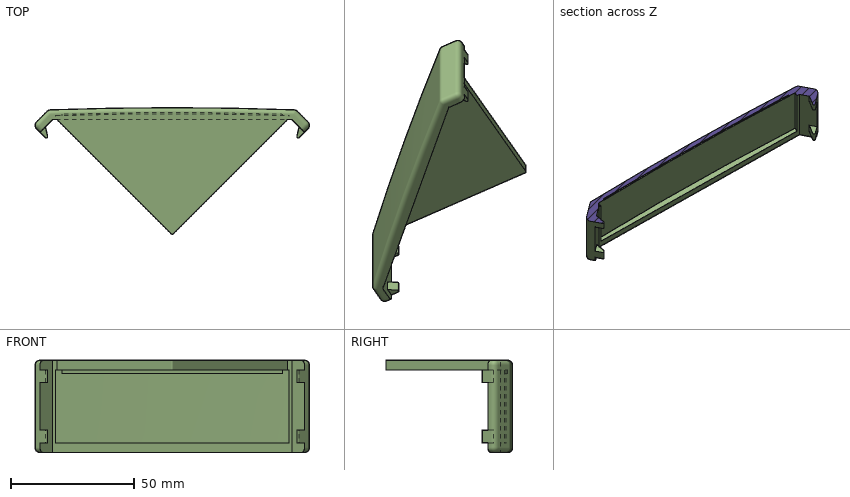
import cadquery as cq
import math

height = 37.5
wall = 4.0
crown = 0.9
overall_width = 111.32
arm_travel = 6.33
edge_radius = 2.0

depth = 51.39
tip_radius = 0.65

pocket_half_width = 47.4
pocket_depth = 1.5
pocket_margin = wall
groove_half_width = 44.7
groove_height = 1.3
groove_depth = 0.5

hook_height = 5.15
hook_length = 3.6
hook_root_width = 3.2
hook_tip_radius = 0.6

diagonal = math.sqrt(0.5)
corner_overhang = edge_radius * (math.sqrt(2) - 1)
arm_end_x = overall_width / 2 + corner_overhang
arm_end_y = -crown - arm_travel
shoulder_x = arm_end_x - arm_travel
inner_x = shoulder_x - wall * math.tan(math.radians(45 / 2))
inner_y = -crown - wall
arm_inner_x = arm_end_x - wall * diagonal
arm_inner_y = arm_end_y - wall * diagonal
sharp_tip_y = -depth - tip_radius * (math.sqrt(2) - 1)
shelf_half_width = inner_y - sharp_tip_y
pocket_bottom = pocket_margin
pocket_top = height - pocket_margin


def arched_block(half_width, front_y, floor_y, bottom, top):
    """Block from a flat front to an arc parallel to the back face, floor_y behind its crown."""
    back_radius = (shoulder_x**2 + crown**2) / (2 * crown)
    floor_radius = back_radius + floor_y
    side_y = floor_y - floor_radius + math.sqrt(floor_radius**2 - half_width**2)
    return (
        cq.Workplane("XY", origin=(0, 0, bottom))
        .moveTo(-half_width, front_y)
        .lineTo(-half_width, side_y)
        .threePointArc((0, floor_y), (half_width, side_y))
        .lineTo(half_width, front_y)
        .close()
        .extrude(top - bottom)
    )


def make_plate():
    """Arched plate and arms, with every edge of the outer side rounded."""
    plate = (
        cq.Workplane("XY")
        .moveTo(-shoulder_x, -crown)
        .threePointArc((0, 0), (shoulder_x, -crown))
        .lineTo(arm_end_x, arm_end_y)
        .lineTo(arm_inner_x, arm_inner_y)
        .lineTo(inner_x, inner_y)
        .lineTo(-inner_x, inner_y)
        .lineTo(-arm_inner_x, arm_inner_y)
        .lineTo(-arm_end_x, arm_end_y)
        .close()
        .extrude(height)
    )
    arm_mid_x = (shoulder_x + arm_end_x) / 2
    arm_mid_y = (arm_end_y - crown) / 2
    end_mid_x = (arm_end_x + arm_inner_x) / 2
    end_mid_y = (arm_end_y + arm_inner_y) / 2
    edge_points = [(0, 0, 0), (0, 0, height)]
    for side in (-1, 1):
        edge_points.append((side * shoulder_x, -crown, height / 2))
        edge_points.append((side * arm_end_x, arm_end_y, height / 2))
        for z in (0, height):
            edge_points.append((side * arm_mid_x, arm_mid_y, z))
            edge_points.append((side * end_mid_x, end_mid_y, z))
    outer_edges = plate.newObject([])
    for point in edge_points:
        outer_edges = outer_edges.add(plate.edges(cq.selectors.NearestToPointSelector(point)))
    return outer_edges.fillet(edge_radius)


def make_shelf():
    """Right-angled triangular shelf with a rounded tip."""
    return (
        cq.Workplane("XY", origin=(0, 0, height - wall))
        .polyline([(-shelf_half_width, inner_y), (shelf_half_width, inner_y), (0, sharp_tip_y)])
        .close()
        .extrude(wall)
        .edges("|Z and <Y")
        .fillet(tip_radius)
    )


def make_hook(side, bottom):
    """Tapered hook that carries on from the end face of an arm."""
    tip = (side * (arm_inner_x - hook_length), arm_inner_y - hook_length)
    root_run = hook_root_width * diagonal
    root = (side * (arm_inner_x - root_run), arm_inner_y + root_run)
    return (
        cq.Workplane("XY", origin=(0, 0, bottom))
        .polyline([(side * arm_inner_x, arm_inner_y), tip, root])
        .close()
        .extrude(hook_height)
        .edges("|Z and <Y")
        .fillet(hook_tip_radius)
    )


result = make_plate().union(make_shelf())

pocket_floor_y = inner_y + crown + pocket_depth
groove_floor_y = pocket_floor_y + groove_depth
result = result.cut(
    arched_block(pocket_half_width, inner_y, pocket_floor_y, pocket_bottom, pocket_top)
)
result = result.cut(
    arched_block(groove_half_width, inner_y, groove_floor_y, pocket_top - groove_height, pocket_top)
)

for side in (-1, 1):
    for bottom in (pocket_bottom, pocket_top - hook_height):
        result = result.union(make_hook(side, bottom))